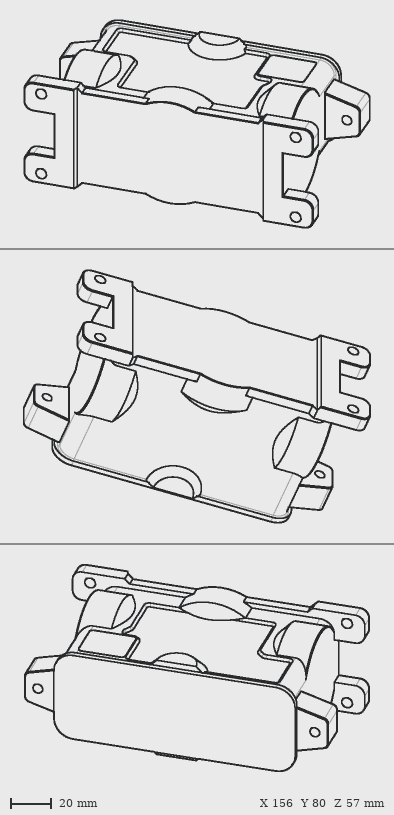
import cadquery as cq

length = 156.0
depth = 80.0
height = 57.0

body_half_x = 59.5
body_half_z = 22.8
body_corner_radius = 7.5
flange_overhang = 2.5
flange_overhang_z = 1.0
flange_thickness = 3.0
flange_front = depth - flange_thickness
flange_root_radius = 0.8

plate_half_z = 25.5
plate_recess = 2.5
plate_back = 8.0
foot_half_x = 75.0
foot_half_z = 28.0
foot_corner_radius = 4.8
foot_gap_half_z = 12.0
foot_inner_x = 48.2
foot_inner_slant = 1.0
foot_hole_x = 66.0
foot_hole_z = 22.5
foot_hole_diameter = 5.5
edge_chamfer = 0.5
plate_chamfer = 0.3

boss_radius = height / 2
boss_core_radius = 18.7
end_boss_y = plate_recess + boss_radius
end_boss_inner_x = 42.5
front_boss_back = 18.4
front_boss_cone_length = 11.5

pad_top_z = 26.7
pad_top_radius = 10.1
pad_base_z = 18.7

lug_front = 61.8
lug_root_half_z = 13.1
lug_tip_half_z = 8.0
lug_tip_radius = 3.0
lug_hole_x = 71.1
lug_hole_diameter = 5.0

recess_depth = 1.4
recess_corner_radius = 2.5
recess_left = -51.8
recess_right = 34.2
recess_front = 18.3
recess_back = 74.1
recess_notch_left = -36.7
recess_step_left = -33.4
recess_left_ledge = 49.5
recess_left_bevel_end = 46.2
recess_label_side = 27.6
recess_right_ledge = 51.2
recess_bulge_x = 36.5
recess_bulge_y = 47.1
recess_right_bevel_end = 43.0
label_left = 28.0
label_right = 52.0
label_front = 52.1
label_back = 73.2
label_corner_radius = 1.9
label_rise = 0.2


def slab_plane(back):
    """Plane at Y = back whose extrusions run towards -Y."""
    return cq.Workplane("XZ", origin=(0, back, 0))


def rounded_slab(half_x, half_z, corner_radius, front, back):
    slab = slab_plane(back).rect(2 * half_x, 2 * half_z).extrude(back - front)
    return slab.edges("|Y").fillet(corner_radius)


def make_housing():
    body = rounded_slab(body_half_x, body_half_z, body_corner_radius, plate_recess, flange_front)
    flange = rounded_slab(
        body_half_x + flange_overhang,
        body_half_z + flange_overhang_z,
        body_corner_radius + flange_overhang,
        flange_front,
        depth,
    )
    housing = body.union(flange)
    flange_front_face = housing.faces("|Y").faces("<Y[1]").val()
    return housing.newObject(flange_front_face.innerWires()).edges().fillet(flange_root_radius)


def make_plate():
    """Front plate, bulging to follow the front boss."""
    plate = slab_plane(plate_back).rect(2 * foot_inner_x, 2 * plate_half_z).extrude(plate_back - plate_recess)
    bulge = slab_plane(plate_back).circle(boss_radius).extrude(plate_back - plate_recess)
    return plate.union(bulge).faces("<Y").chamfer(plate_chamfer)


def make_right_feet():
    """The two feet of the +X end, the strip that joins them and the bevelled step to the plate."""
    feet = (
        slab_plane(plate_back)
        .moveTo(foot_inner_x, foot_half_z)
        .lineTo(foot_half_x, foot_half_z)
        .lineTo(foot_half_x, foot_gap_half_z)
        .lineTo(body_half_x, foot_gap_half_z)
        .lineTo(body_half_x, -foot_gap_half_z)
        .lineTo(foot_half_x, -foot_gap_half_z)
        .lineTo(foot_half_x, -foot_half_z)
        .lineTo(foot_inner_x, -foot_half_z)
        .close()
        .extrude(plate_back)
        .edges("|Y and >X")
        .fillet(foot_corner_radius)
        .faces("<Y")
        .chamfer(edge_chamfer)
    )
    slant = (
        cq.Workplane("XY", origin=(0, 0, -foot_half_z))
        .moveTo(foot_inner_x, plate_recess)
        .lineTo(foot_inner_x, 0)
        .lineTo(foot_inner_x + foot_inner_slant, 0)
        .close()
        .extrude(2 * foot_half_z)
    )
    corner_fill = foot_half_z - plate_half_z
    bridge = (
        slab_plane(plate_back)
        .moveTo(foot_inner_x, foot_half_z)
        .lineTo(foot_inner_x - corner_fill, plate_half_z)
        .lineTo(foot_inner_x - corner_fill, -plate_half_z)
        .lineTo(foot_inner_x, -foot_half_z)
        .close()
        .extrude(plate_back - plate_recess)
    )
    holes = (
        slab_plane(plate_back)
        .pushPoints([(foot_hole_x, foot_hole_z), (foot_hole_x, -foot_hole_z)])
        .circle(foot_hole_diameter / 2)
        .extrude(plate_back)
    )
    return feet.cut(slant).union(bridge).cut(holes)


def make_right_lug():
    lug = (
        slab_plane(flange_front)
        .moveTo(body_half_x, lug_root_half_z)
        .lineTo(length / 2, lug_tip_half_z)
        .lineTo(length / 2, -lug_tip_half_z)
        .lineTo(body_half_x, -lug_root_half_z)
        .close()
        .extrude(flange_front - lug_front)
        .edges("|Y and >X")
        .fillet(lug_tip_radius)
        .faces("<Y or >Y")
        .chamfer(edge_chamfer)
    )
    hole = (
        slab_plane(flange_front)
        .center(lug_hole_x, 0)
        .circle(lug_hole_diameter / 2)
        .extrude(flange_front - lug_front)
    )
    return lug.cut(hole)


def make_right_boss():
    """Disc along X with a 45 degree inner end and a chamfered outer rim, cut off behind the plate."""
    cone_length = boss_radius - boss_core_radius
    disc = (
        cq.Workplane("XY", origin=(0, end_boss_y, 0))
        .moveTo(end_boss_inner_x - cone_length, 0)
        .lineTo(end_boss_inner_x - cone_length, boss_core_radius)
        .lineTo(end_boss_inner_x, boss_radius)
        .lineTo(body_half_x - edge_chamfer, boss_radius)
        .lineTo(body_half_x, boss_radius - edge_chamfer)
        .lineTo(body_half_x, 0)
        .close()
        .revolve(360, (0, 0), (1, 0))
    )
    space_behind_plate = slab_plane(depth).rect(length, height).extrude(depth - plate_back)
    return disc.intersect(space_behind_plate)


def make_front_boss():
    """Disc along Y whose rear end is a cone."""
    return (
        cq.Workplane("XY")
        .moveTo(0, plate_back)
        .lineTo(boss_radius, plate_back)
        .lineTo(boss_radius, front_boss_back)
        .lineTo(boss_core_radius, front_boss_back + front_boss_cone_length)
        .lineTo(0, front_boss_back + front_boss_cone_length)
        .close()
        .revolve(360, (0, 0), (0, 1))
    )


def make_upper_pad():
    """Half cone that ends flat against the flange."""
    base_radius = pad_top_radius + pad_top_z - pad_base_z
    return (
        cq.Workplane("XZ", origin=(0, flange_front, 0))
        .moveTo(0, pad_base_z)
        .lineTo(base_radius, pad_base_z)
        .lineTo(pad_top_radius, pad_top_z)
        .lineTo(0, pad_top_z)
        .close()
        .revolve(180, (0, 0), (0, -1))
    )


def make_recess():
    outline = [
        (recess_left, recess_back),
        (recess_left, recess_left_ledge),
        (recess_notch_left, recess_left_ledge),
        (recess_step_left, recess_left_bevel_end),
        (recess_step_left, recess_front),
        (recess_right, recess_front),
        (recess_right, recess_right_bevel_end),
        (recess_bulge_x, recess_bulge_y),
        (recess_bulge_x, recess_right_ledge),
        (recess_label_side, recess_right_ledge),
        (recess_label_side, recess_back),
    ]
    pocket = cq.Sketch().polygon(outline + outline[:1]).vertices().fillet(recess_corner_radius)
    return (
        cq.Workplane("XY", origin=(0, 0, body_half_z))
        .placeSketch(pocket)
        .extrude(-recess_depth, taper=45)
    )


def make_label():
    width = label_right - label_left
    breadth = label_back - label_front
    return (
        cq.Workplane("XY", origin=(0, 0, body_half_z))
        .center((label_left + label_right) / 2, (label_front + label_back) / 2)
        .rect(width, breadth)
        .extrude(label_rise)
        .edges("|Z")
        .fillet(label_corner_radius)
    )


result = make_housing()
for right_feature in (make_right_boss(), make_right_lug(), make_right_feet()):
    result = result.union(right_feature).union(right_feature.mirror("YZ"))
result = result.union(make_plate()).union(make_front_boss())
result = result.cut(make_recess()).union(make_label())
upper_pad = make_upper_pad()
result = result.union(upper_pad).union(upper_pad.mirror("XY"))